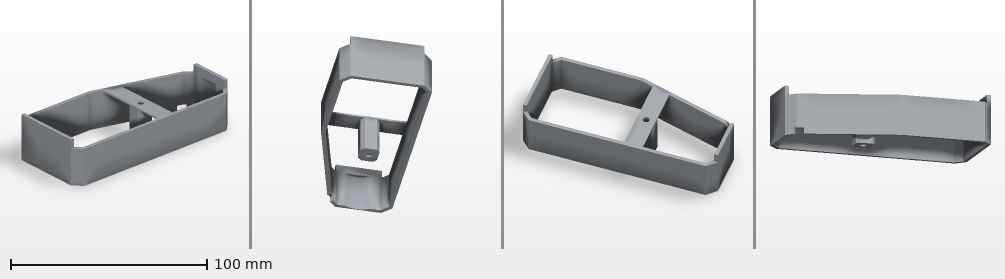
import cadquery as cq
import math

width = 48.3
length = 105.8
wall = 2.0
body_height = 21.1
total_height = 26.0
corner = 4.9
taper_start_y = 49.3
taper_end_x = 14.5

bar_y = 61.1
bar_width = 10.0
bar_thickness = 1.0
post_x = 27.4
post_chamfer = 1.8
hole_diameter = 3.6

recess_x = 30.5
recess_width = 13.0
recess_depth = 1.5

slot_width = 5.0
slot_height = 3.3
slot_offset = 0.5
slot_length = 14.8

taper_end_y = length - corner
far_end_left_x = taper_end_x + corner
end_right_x = width - corner

outline = (
    cq.Workplane("XY")
    .moveTo(corner, 0)
    .lineTo(end_right_x, 0)
    .lineTo(width, corner)
    .lineTo(width, taper_end_y)
    .lineTo(end_right_x, length)
    .lineTo(far_end_left_x, length)
    .lineTo(taper_end_x, taper_end_y)
    .lineTo(0, taper_start_y)
    .lineTo(0, corner)
    .close()
)


def box_between(x0, x1, y0, y1, z0, z1):
    return cq.Workplane("XY").box(x1 - x0, y1 - y0, z1 - z0, centered=False).translate((x0, y0, z0))


def make_frame():
    outer = outline.extrude(body_height)
    opening = outer.faces("<Z").wires().toPending().offset2D(-wall, "intersection")
    inner = opening.extrude(body_height, combine=False)
    return outer, outer.cut(inner)


def make_tab(left_x, y0):
    return box_between(left_x, end_right_x, y0, y0 + wall, body_height, total_height)


def make_bar(outer):
    half = bar_width / 2
    bar = box_between(0, width, bar_y - half, bar_y + half, body_height - bar_thickness, body_height)
    return bar.intersect(outer)


def make_post():
    post = cq.Workplane("XY").center(post_x, bar_y).rect(bar_width, bar_width)
    post = post.extrude(body_height - bar_thickness)
    return post.edges("|Z").chamfer(post_chamfer)


def make_recess():
    radius = ((recess_width / 2) ** 2 + recess_depth**2) / (2 * recess_depth)
    axis_y = length - wall + recess_depth - radius
    cylinder = cq.Workplane("XY").center(recess_x, axis_y).circle(radius).extrude(body_height)
    return cylinder.intersect(box_between(0, width, length - wall, length, 0, body_height))


def make_slot():
    shift = slot_offset * math.sqrt(0.5)
    return (
        cq.Workplane("XY")
        .box(slot_length, slot_width, slot_height, centered=(True, True, False))
        .rotate((0, 0, 0), (0, 0, 1), -45)
        .translate((taper_end_x - shift, taper_end_y - shift, 0))
    )


outer_body, frame = make_frame()
frame = frame.cut(make_recess()).cut(make_slot())
frame = frame.union(make_tab(corner, 0)).union(make_tab(far_end_left_x, length - wall))
frame = frame.union(make_bar(outer_body)).union(make_post())
hole = cq.Workplane("XY").center(post_x, bar_y).circle(hole_diameter / 2).extrude(body_height)
result = frame.cut(hole)